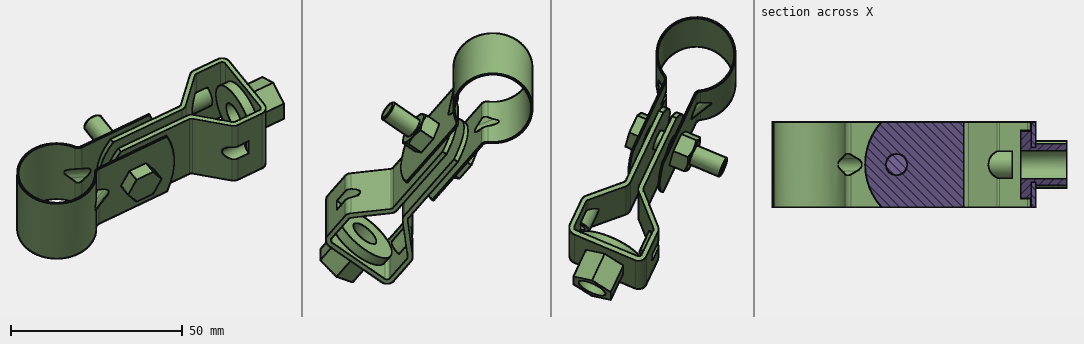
import cadquery as cq
import math

height = 25.0
bolt_y = 24.7
bolt_diameter = 6.0
band_margin = 0.4

strap_thickness = 0.5
ring_radius = 11.6
strap_half_width = 5.1
strap_end_y = 37.3
strap_end_sagitta = 2.4
neck_fillet = 1.55

rib_angle = 27.0
rib_start_y = 14.7
rib_outer_radius = 7.0 / 2
rib_flank_angle = 52.0
rib_flank_depth = 3.45
rib_length = 20.7
rib_overrun = 6.9

bracket_thickness = 1.5
bracket_half_width = 12.2
bracket_arm_half_width = 2.8
bracket_back_y = 65.45
bracket_end_y = 15.5
bracket_end_sagitta = 4.8
shoulder_y = 53.7
inner_bend_radius = 1.0
outer_bend_radius = inner_bend_radius + bracket_thickness

stop_inner_radius = 2.75
stop_outer_radius = stop_inner_radius + bracket_thickness
stop_back_y = 58.6

boss_hex_flats = 12.0
boss_hex_length = 9.0
boss_neck_diameter = 10.5
boss_disc_diameter = 20.0
boss_disc_thickness = 3.0
boss_bore_diameter = 8.5

hex_flats = 10.0
bolt_head_thickness = 4.0
bolt_length = 25.0
bolt_tip_diameter = 4.9
bolt_tip_chamfer_length = 0.3
nut_thickness = 5.2
nut_face_diameter = 9.8
nut_chamfer_angle = 30.0


def hex_corners(flats):
    """Corner-to-corner size of a hexagon with the given size across flats."""
    return flats / math.cos(math.radians(30))


def bolt_hole():
    """Cylinder along X that removes the bolt hole from everything on its axis."""
    reach = 2 * bracket_half_width
    return cq.Workplane("YZ").center(bolt_y, 0).circle(bolt_diameter / 2).extrude(reach, both=True)


def both_sides(shape):
    """The shape together with its mirror image across the YZ plane."""
    return shape.union(shape.mirror("YZ"))


def rounded_end_envelope(straight_y, end_y, far_y):
    """Block from far_y to straight_y whose end bulges along a circular arc to end_y."""
    return (
        cq.Workplane("YZ")
        .moveTo(far_y, -height / 2)
        .lineTo(straight_y, -height / 2)
        .threePointArc((end_y, 0), (straight_y, height / 2))
        .lineTo(far_y, height / 2)
        .close()
        .extrude(2 * bracket_half_width, both=True)
    )


def rib_wedge(radius):
    """Wedge with a rounded crest, running down from the left strap arm to the ring."""
    slope = math.radians(rib_angle)
    crest_run = cq.Vector(-math.sin(slope), -math.cos(slope), 0)
    inward = cq.Vector(math.cos(slope), -math.sin(slope), 0)
    crest_start = cq.Vector(-strap_half_width, rib_start_y, 0)
    crest_depth = rib_outer_radius - radius
    plane = cq.Plane(crest_start - crest_run * rib_overrun, xDir=inward, normal=crest_run)
    flank = math.radians(rib_flank_angle)
    half_chord = radius * math.cos(flank)
    tangent_depth = rib_outer_radius - radius * math.sin(flank)
    far_depth = tangent_depth + rib_flank_depth
    far_half_width = half_chord + rib_flank_depth * math.tan(flank)
    return (
        cq.Workplane(plane)
        .moveTo(far_depth, -far_half_width)
        .lineTo(tangent_depth, -half_chord)
        .threePointArc((crest_depth, 0), (tangent_depth, half_chord))
        .lineTo(far_depth, far_half_width)
        .close()
        .extrude(rib_length + rib_overrun)
    )


def within_y_band(low_y, high_y):
    """Selector for everything whose centre lies between two Y levels."""
    reach = 2 * bracket_half_width
    return cq.selectors.BoxSelector((-reach, low_y, -reach), (reach, high_y, reach))


def make_strap_outline():
    """Filled plan shape of the strap: ring and two arms, with rounded necks."""
    ring = cq.Workplane("XY").circle(ring_radius).extrude(height / 2, both=True)
    arms = cq.Workplane("XY").box(2 * strap_half_width, strap_end_y, height)
    arms = arms.translate((0, strap_end_y / 2, 0))
    neck_y = math.sqrt(ring_radius**2 - strap_half_width**2)
    neck_band = within_y_band(neck_y - band_margin, neck_y + band_margin)
    return ring.union(arms).edges("|Z").edges(neck_band).fillet(neck_fillet)


def make_strap():
    """Bent pipe strap with ribbed necks, rounded arm ends and a bolt hole through both arms."""
    outline = make_strap_outline()
    strap = outline.faces(">Z or <Z or >Y").shell(-strap_thickness)
    cavity = outline.cut(strap)
    ribs = both_sides(rib_wedge(rib_outer_radius)).cut(cavity)
    grooves = both_sides(rib_wedge(rib_outer_radius - strap_thickness))
    rib_zone = cq.Workplane("XY").box(2 * ring_radius, ring_radius, height).translate((0, ring_radius, 0))
    strap = strap.union(ribs.intersect(rib_zone)).cut(grooves.intersect(rib_zone))
    ends = rounded_end_envelope(strap_end_y - strap_end_sagitta, strap_end_y, -2 * ring_radius)
    return strap.intersect(ends).cut(bolt_hole())


def boss_neck():
    """Round neck that fills the hole through the bracket back."""
    return (
        cq.Workplane("XZ", origin=(0, bracket_back_y, 0))
        .circle(boss_neck_diameter / 2)
        .extrude(bracket_thickness)
    )


def boss_disc():
    """Disc against the inner face of the bracket back, let slightly into the bends at its sides."""
    return (
        cq.Workplane("XZ", origin=(0, bracket_back_y - bracket_thickness, 0))
        .circle(boss_disc_diameter / 2)
        .extrude(boss_disc_thickness)
    )


def make_bracket_outline():
    """Filled plan shape of the bracket with all of its bends rounded."""
    neck_y = shoulder_y - (bracket_half_width - bracket_arm_half_width)
    right_side = [
        (bracket_arm_half_width, bracket_end_y),
        (bracket_arm_half_width, neck_y),
        (bracket_half_width, shoulder_y),
        (bracket_half_width, bracket_back_y),
    ]
    left_side = [(-x, y) for x, y in reversed(right_side)]
    outline = cq.Workplane("XY").polyline(right_side + left_side).close().extrude(height / 2, both=True)
    neck_band = within_y_band(neck_y - band_margin, neck_y + band_margin)
    wide_band = within_y_band(shoulder_y - band_margin, bracket_back_y + band_margin)
    outline = outline.edges("|Z").edges(neck_band).fillet(inner_bend_radius)
    return outline.edges("|Z").edges(wide_band).fillet(outer_bend_radius)


def stop_cylinder(radius):
    """Cylinder along Y centred on the outer face of the left side wall."""
    return (
        cq.Workplane("XZ", origin=(-bracket_half_width, stop_back_y, 0))
        .circle(radius)
        .extrude(stop_back_y - bracket_end_y)
    )


def make_bracket():
    """Bent bracket with pressed stops, rounded arm ends, and holes for the bolt and the boss."""
    outline = make_bracket_outline()
    bracket = outline.faces(">Z or <Z or <Y").shell(-bracket_thickness)
    stops = both_sides(stop_cylinder(stop_outer_radius)).intersect(outline)
    grooves = both_sides(stop_cylinder(stop_inner_radius))
    ends = rounded_end_envelope(bracket_end_y + bracket_end_sagitta, bracket_end_y, bracket_back_y)
    bracket = bracket.union(stops).cut(grooves).intersect(ends)
    return bracket.cut(bolt_hole()).cut(boss_neck()).cut(boss_disc())


def make_boss():
    """Hexagon outside the bracket back, neck through it, and disc inside, with a through bore."""
    hexagon = (
        cq.Workplane("XZ", origin=(0, bracket_back_y, 0))
        .transformed(rotate=(0, 0, 90))
        .polygon(6, hex_corners(boss_hex_flats))
        .extrude(-boss_hex_length)
    )
    boss = hexagon.union(boss_neck()).union(boss_disc())
    return boss.faces("<Y").workplane(centerOption="CenterOfMass").hole(boss_bore_diameter)


def make_bolt():
    """Bolt with its hexagon head against the right strap arm and its shank running to -X."""
    seat = cq.Workplane("YZ", origin=(strap_half_width, bolt_y, 0))
    head = seat.polygon(6, hex_corners(hex_flats)).extrude(bolt_head_thickness)
    tip_step = (bolt_diameter - bolt_tip_diameter) / 2
    shank = seat.circle(bolt_diameter / 2).extrude(-bolt_length)
    shank = shank.faces("<X").chamfer(bolt_tip_chamfer_length, tip_step)
    return head.union(shank)


def make_nut():
    """Hexagon nut against the left strap arm, chamfered on its outer face."""
    corner_radius = hex_corners(hex_flats) / 2
    face_radius = nut_face_diameter / 2
    chamfer_length = (corner_radius - face_radius) * math.tan(math.radians(nut_chamfer_angle))
    seat = cq.Workplane("YZ", origin=(-strap_half_width, bolt_y, 0))
    hexagon = seat.polygon(6, hex_corners(hex_flats)).extrude(-nut_thickness)
    chamfer_cone = (
        cq.Workplane("XY")
        .polyline(
            [
                (0, 0),
                (0, corner_radius),
                (chamfer_length - nut_thickness, corner_radius),
                (-nut_thickness, face_radius),
                (-nut_thickness, 0),
            ]
        )
        .close()
        .revolve(360, (0, 0, 0), (1, 0, 0))
        .translate((-strap_half_width, bolt_y, 0))
    )
    return hexagon.intersect(chamfer_cone).cut(bolt_hole())


strap = make_strap()
bracket = make_bracket()
boss = make_boss()
bolt = make_bolt()
nut = make_nut()

bodies = [strap, bracket, boss, bolt, nut]
result = cq.Compound.makeCompound([body.solids().val() for body in bodies])